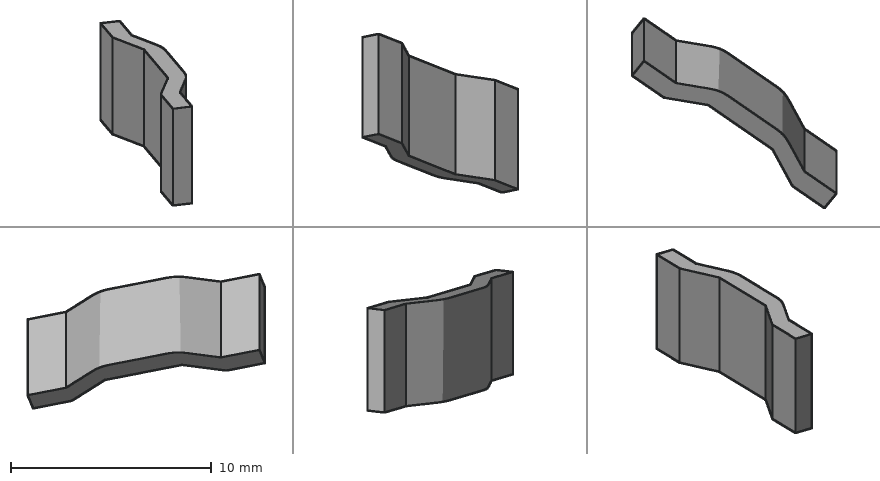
import cadquery as cq

length = 12.0
height = 5.2
depth = 2.0
thickness = depth / 2
offset = depth - thickness
segment = length / 6
outer_bend_radius = 2.0

ramp_start = length / 2 - segment
ramp_end = ramp_start - segment

inner_face = [
    (-length / 2, 0),
    (-ramp_start, 0),
    (-ramp_end, offset),
    (ramp_end, offset),
    (ramp_start, 0),
    (length / 2, 0),
]
outer_face = [(x, y + thickness) for x, y in reversed(inner_face)]

strip = cq.Workplane("XY").polyline(inner_face + outer_face).close().extrude(height)

result = strip.faces(">Y").edges("|Z").fillet(outer_bend_radius)